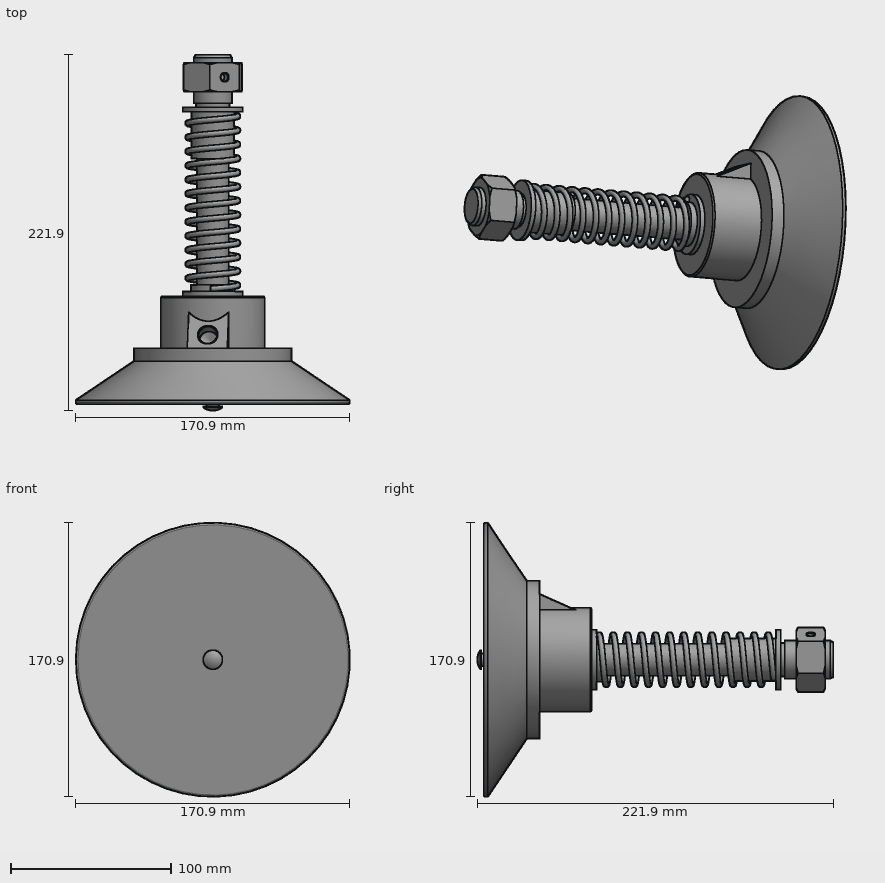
import cadquery as cq
import math


cup_diameter = 170.91
rim_thickness = 2.7
rim_edge_radius = 1.3
flange_diameter = 98.5
flange_bottom = 27.0
flange_top = 35.0
body_diameter = 65.0
body_top = 67.5
body_chamfer = 1.0

button_stem_diameter = 8.0
button_diameter = 12.0
button_projection = 4.0
button_gap = 1.3
button_edge_height = 0.6

boss_width = 25.0
boss_slope = 24.0
boss_height_at_flange = 40.0
port_diameter = 11.45
port_mouth_diameter = 12.6
port_height = flange_top + 8.4
port_depth = 8.0
drill_point_angle = 118.0

washer_diameter = 37.5
washer_thickness = 3.0
collar_diameter = 27.5
collar_length = 4.0
rod_diameter = 20.0
sleeve_diameter = 26.67
sleeve_bottom = 153.1
upper_washer_bottom = 182.2
neck_diameter = 21.0
neck_length = 2.4
shank_diameter = 24.0
shank_top = 217.93
shank_chamfer_height = 2.0
shank_chamfer_width = 1.2
lower_washer_top = body_top + washer_thickness
upper_washer_top = upper_washer_bottom + washer_thickness

nut_across_flats = 35.0
nut_height = 18.3
nut_bottom = 194.7
nut_end_circle = 36.0
nut_chamfer_angle = 30.0
nut_hole_diameter = 4.92
nut_hole_mouth_diameter = 5.8
nut_hole_direction = 30.0

wire_diameter = 3.5
spring_mean_diameter = collar_diameter + wire_diameter
spring_turns = 12.4
spring_embed = 0.3

axial_twist = math.radians(5.0)


def cylinder(diameter, bottom, top):
    return cq.Workplane("XY").workplane(offset=bottom).circle(diameter / 2).extrude(top - bottom)


def drill(part, mouth, outward, diameter, depth, mouth_diameter):
    """Flat-ended hole from the mouth inwards, with a 45 degree countersink."""
    radius = diameter / 2
    mouth_radius = mouth_diameter / 2
    inward = outward * -1
    bore = cq.Solid.makeCylinder(radius, depth, mouth, inward)
    countersink = cq.Solid.makeCone(mouth_radius, radius, mouth_radius - radius, mouth, inward)
    return part.cut(bore).cut(countersink)


def make_cup():
    """Solid cone with a rounded lower rim edge, carrying the round flange."""
    cup_radius = cup_diameter / 2
    rounding_bulge = rim_edge_radius * (1 - math.sqrt(0.5))
    return (
        cq.Workplane("XZ")
        .lineTo(cup_radius - rim_edge_radius, 0)
        .threePointArc((cup_radius - rounding_bulge, rounding_bulge), (cup_radius, rim_edge_radius))
        .lineTo(cup_radius, rim_thickness)
        .lineTo(flange_diameter / 2, flange_bottom)
        .lineTo(flange_diameter / 2, flange_top)
        .lineTo(0, flange_top)
        .close()
        .revolve(360, (0, 0), (0, 1))
    )


def make_button():
    """Short stem below the cup face with a domed head."""
    radius = button_diameter / 2
    head_top = -button_gap
    dome_base = head_top - button_edge_height
    dome_height = dome_base + button_projection
    dome_radius = (radius**2 + dome_height**2) / (2 * dome_height)
    half_angle = math.asin(radius / dome_radius) / 2
    dome_center = dome_radius - button_projection
    dome_middle = (
        dome_radius * math.sin(half_angle),
        dome_center - dome_radius * math.cos(half_angle),
    )
    head = (
        cq.Workplane("XZ")
        .moveTo(0, head_top)
        .lineTo(radius, head_top)
        .lineTo(radius, dome_base)
        .threePointArc(dome_middle, (0, -button_projection))
        .close()
        .revolve(360, (0, 0), (0, 1))
    )
    stem = cylinder(button_stem_diameter, dome_base, rim_thickness)
    return head.union(stem)


def make_body():
    """Round body with the sloped port boss and its blind drilled port."""
    body = cylinder(body_diameter, flange_bottom, body_top).faces(">Z").chamfer(body_chamfer)
    slope = math.radians(boss_slope)
    boss_rise = boss_height_at_flange / math.tan(slope)
    boss = (
        cq.Workplane("XZ")
        .moveTo(0, flange_top)
        .lineTo(boss_height_at_flange, flange_top)
        .lineTo(0, flange_top + boss_rise)
        .close()
        .extrude(boss_width / 2, both=True)
    )
    boss = boss.intersect(cylinder(flange_diameter, flange_top, body_top - body_chamfer))
    port_x = boss_height_at_flange - (port_height - flange_top) * math.tan(slope)
    outward = cq.Vector(math.cos(slope), 0, math.sin(slope))
    mouth = cq.Vector(port_x, 0, port_height)
    port_radius = port_diameter / 2
    point_depth = port_radius / math.tan(math.radians(drill_point_angle / 2))
    point = cq.Solid.makeCone(port_radius, 0, point_depth, mouth - outward * port_depth, outward * -1)
    body = drill(body.union(boss), mouth, outward, port_diameter, port_depth, port_mouth_diameter)
    return body.cut(point)


def make_stem():
    """Rod with washers, collar, sleeve, neck and chamfered shank."""
    shank_bottom = upper_washer_top + neck_length
    stem = cylinder(washer_diameter, body_top, lower_washer_top)
    sections = [
        (collar_diameter, lower_washer_top, lower_washer_top + collar_length),
        (rod_diameter, lower_washer_top, sleeve_bottom),
        (sleeve_diameter, sleeve_bottom, upper_washer_bottom),
        (washer_diameter, upper_washer_bottom, upper_washer_top),
        (neck_diameter, upper_washer_top, shank_bottom),
    ]
    for diameter, bottom, top in sections:
        stem = stem.union(cylinder(diameter, bottom, top))
    shank = cylinder(shank_diameter, shank_bottom, shank_top)
    shank = shank.faces(">Z").edges().chamfer(shank_chamfer_height, shank_chamfer_width)
    return stem.union(shank)


def make_nut():
    """Hexagon nut, corners bevelled at both ends, with one radial hole down to the shank."""
    face_distance = nut_across_flats / 2
    corner_radius = face_distance / math.cos(math.pi / 6)
    nut_top = nut_bottom + nut_height
    base = cq.Workplane("XY").workplane(offset=nut_bottom)
    hexagon = base.polygon(6, 2 * corner_radius).extrude(nut_height)
    end_radius = nut_end_circle / 2
    bevel = (corner_radius - end_radius) * math.tan(math.radians(nut_chamfer_angle))
    envelope = (
        cq.Workplane("XZ")
        .moveTo(0, nut_bottom)
        .lineTo(end_radius, nut_bottom)
        .lineTo(corner_radius, nut_bottom + bevel)
        .lineTo(corner_radius, nut_top - bevel)
        .lineTo(end_radius, nut_top)
        .lineTo(0, nut_top)
        .close()
        .revolve(360, (0, 0), (0, 1))
    )
    angle = math.radians(nut_hole_direction)
    outward = cq.Vector(math.cos(angle), math.sin(angle), 0)
    hole_mouth = cq.Vector(0, 0, nut_bottom + nut_height / 2) + outward * face_distance
    nut = hexagon.intersect(envelope)
    return drill(nut, hole_mouth, outward, nut_hole_diameter, face_distance, nut_hole_mouth_diameter)


def make_spring():
    """Right-hand coil whose ends are slightly sunk into the two washers."""
    end_offset = wire_diameter / 2 - spring_embed
    first = lower_washer_top + end_offset
    height = upper_washer_bottom - end_offset - first
    radius = spring_mean_diameter / 2
    helix = cq.Wire.makeHelix(height / spring_turns, height, radius)
    coil = cq.Workplane("XZ").center(radius, 0).circle(wire_diameter / 2).sweep(helix, isFrenet=True)
    return coil.translate((0, 0, first))


standing = make_cup().union(make_button()).union(make_body()).union(make_stem())
standing = standing.union(make_nut()).union(make_spring())
lying = cq.Plane(
    origin=(0, 0, 0),
    xDir=(-math.sin(axial_twist), 0, math.cos(axial_twist)),
    normal=(0, 1, 0),
)
result = cq.Workplane(standing.val().moved(cq.Location(lying)))